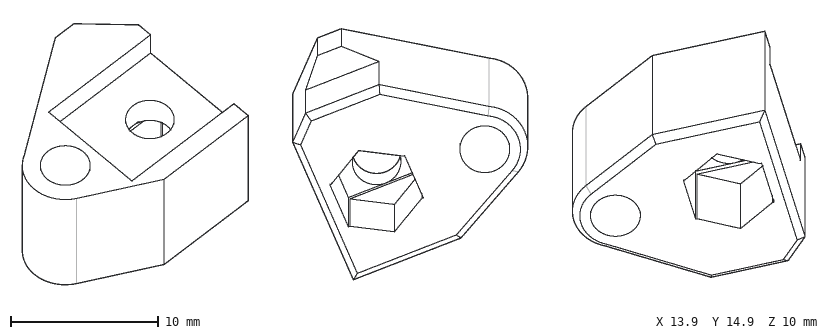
import cadquery as cq
import math

height = 10.0
nose_radius = 2.93
back_y = 14.89 - nose_radius
right_x = 5.51
left_x = right_x - 13.9

right_corner_y = 4.04
left_corner_y = 7.09
back_corner_cut = 3.11

undercut_depth = 1.49
undercut_wall_top = 5.03

bottom_chamfer = 0.5

pocket_width = 8.19
pocket_front_y = 2.35
pocket_depth = 2.03

nose_hole_diameter = 3.4
pocket_hole_diameter = 3.3
pocket_hole_y = 7.97

nut_width = 5.51
nut_recess_depth = 5.36
bridge_slot_height = 0.39


def nose_right_end():
    """Point where the line from the right corner is tangent to the nose."""
    corner_angle = math.atan2(right_corner_y, right_x)
    spread = math.acos(nose_radius / math.hypot(right_x, right_corner_y))
    angle = corner_angle - spread
    return nose_radius * math.cos(angle), nose_radius * math.sin(angle)


def make_block():
    """Outline with a cut back corner and a round nose whose ends lie level."""
    nose_end_x, nose_end_y = nose_right_end()
    return (
        cq.Workplane("XY")
        .moveTo(right_x, back_y)
        .lineTo(right_x, right_corner_y)
        .lineTo(nose_end_x, nose_end_y)
        .threePointArc((0, -nose_radius), (-nose_end_x, nose_end_y))
        .lineTo(left_x, left_corner_y)
        .lineTo(left_x, back_y - back_corner_cut)
        .lineTo(left_x + back_corner_cut, back_y)
        .close()
        .extrude(height)
    )


def make_undercut():
    """Recess below the left side, with a 45 degree sloped roof."""
    wall_x = left_x + undercut_depth
    return (
        cq.Workplane("XZ", origin=(0, back_y, 0))
        .polyline([
            (left_x, 0),
            (wall_x, 0),
            (wall_x, undercut_wall_top),
            (left_x, undercut_wall_top + undercut_depth),
        ])
        .close()
        .extrude(back_y + nose_radius)
    )


def make_pocket():
    """Rectangular pocket in the top face, open through the back."""
    return (
        cq.Workplane("XY", origin=(0, pocket_front_y, height - pocket_depth))
        .box(pocket_width, back_y - pocket_front_y, pocket_depth, centered=(True, False, False))
    )


def make_hole(diameter, y):
    return cq.Workplane("XY").center(0, y).circle(diameter / 2).extrude(height)


def make_nut_recess():
    """Hexagon with flats facing front and back, topped by a slot as wide as the hole."""
    corner_diameter = nut_width / math.cos(math.radians(30))
    hexagon = (
        cq.Workplane("XY")
        .center(0, pocket_hole_y)
        .polygon(6, corner_diameter)
        .extrude(nut_recess_depth)
    )
    slot = (
        cq.Workplane("XY")
        .center(0, pocket_hole_y)
        .rect(pocket_hole_diameter, nut_width)
        .extrude(nut_recess_depth + bridge_slot_height)
    )
    return hexagon.union(slot)


body = make_block().cut(make_undercut())
body = body.faces("<Z").edges().chamfer(bottom_chamfer)
body = body.cut(make_pocket())
body = body.cut(make_hole(nose_hole_diameter, 0))
body = body.cut(make_hole(pocket_hole_diameter, pocket_hole_y))
result = body.cut(make_nut_recess())